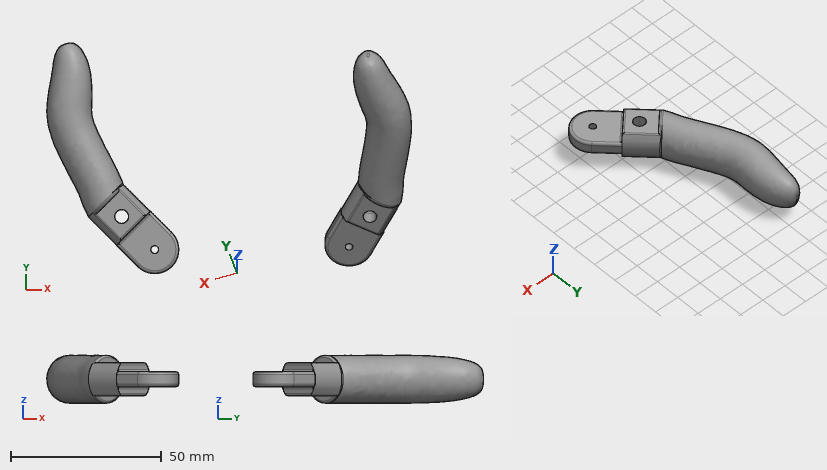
import cadquery as cq
import math

SHANK_ANGLE = 135.0

TONGUE_RADIUS = 8.0
TONGUE_THICKNESS = 5.0
TONGUE_FILLET = 1.0
PIN_HOLE_DIAMETER = 2.5

SHOULDER_DISTANCE = 10.0
BLOCK_END = 22.0
BLOCK_THICKNESS = 11.0
BLOCK_FILLET = 0.7
SHOULDER_ROOT_FILLET = 0.7
BLOCK_HOLE_DISTANCE = 15.5
BLOCK_HOLE_DIAMETER = 4.5

GRIP_START = 23.2
GRIP_HALF_HEIGHT = 15.93 / 2
SHANK_HALF_WIDTH = 7.9
GRIP_HALF_WIDTH = 7.5
SPINE_POINTS = [(-21.9, 28.4), (-25.7, 36.0), (-27.8, 41.7), (-28.4, 47.0),
                (-27.7, 55.5), (-28.1, 62.0)]
TIP = (-29.4, 68.3)
BEND_SECTIONS = 6

DOME_LENGTH = 24.0
DOME_ANGLES = [20, 40, 55, 68, 78, 85, 89]
WIDTH_POWER = 0.35
HEIGHT_POWER = 0.25

EDGE_GAP = 0.02


def shank_point(distance):
    """Point on the shank axis at a distance from the pin hole."""
    angle = math.radians(SHANK_ANGLE)
    return cq.Vector(distance * math.cos(angle), distance * math.sin(angle), 0)


def turn_to_shank(shape):
    """Turn a shape built along +X to the direction of the shank."""
    return shape.rotate((0, 0, 0), (0, 0, 1), SHANK_ANGLE)


def section(center, direction, half_width, half_height):
    """Ellipse centred on the spine, normal to the given direction."""
    across = cq.Vector(direction.y, -direction.x, 0)
    plane = cq.Plane(origin=center, xDir=across, normal=direction)
    return cq.Workplane(plane).ellipse(half_width, half_height).val()


def make_shank():
    """Straight elliptical length from the shoulder to the start of the grip."""
    profile = section(shank_point(SHOULDER_DISTANCE), shank_point(1), SHANK_HALF_WIDTH, GRIP_HALF_HEIGHT)
    length = shank_point(GRIP_START - SHOULDER_DISTANCE)
    return cq.Workplane(cq.Solid.extrudeLinear(profile, [], length))


def make_grip():
    """Curved grip lofted along its spine and closed by a dome."""
    start = shank_point(GRIP_START)
    spine = cq.Edge.makeSpline([start] + [cq.Vector(*point) for point in SPINE_POINTS + [TIP]])
    dome_start = 1 - DOME_LENGTH / spine.Length()

    sections = [section(start, shank_point(1), SHANK_HALF_WIDTH, GRIP_HALF_HEIGHT)]
    for index in range(1, BEND_SECTIONS + 1):
        place = dome_start * index / BEND_SECTIONS
        sections.append(section(spine.positionAt(place), spine.tangentAt(place),
                                GRIP_HALF_WIDTH, GRIP_HALF_HEIGHT))
    for angle in DOME_ANGLES:
        reach = math.sin(math.radians(angle))
        closing = 1 - reach ** 2
        place = dome_start + (1 - dome_start) * reach
        sections.append(section(spine.positionAt(place), spine.tangentAt(place),
                                GRIP_HALF_WIDTH * closing ** WIDTH_POWER,
                                GRIP_HALF_HEIGHT * closing ** HEIGHT_POWER))
    return cq.Workplane(cq.Solid.makeLoft(sections))


def make_tongue():
    """Round-ended plate with both rims filleted, ending square at the shoulder."""
    plate = (cq.Workplane("XY", origin=(0, 0, -TONGUE_THICKNESS / 2))
             .moveTo(SHOULDER_DISTANCE, -TONGUE_RADIUS)
             .lineTo(0, -TONGUE_RADIUS)
             .threePointArc((-TONGUE_RADIUS, 0), (0, TONGUE_RADIUS))
             .lineTo(SHOULDER_DISTANCE, TONGUE_RADIUS)
             .close()
             .extrude(TONGUE_THICKNESS))
    plate = plate.edges("not (>X or |Z)").fillet(TONGUE_FILLET)
    return turn_to_shank(plate)


def cut_flats(body):
    """Trim the shank to two parallel flats between the shoulder and the grip."""
    for side in (1, -1):
        waste = (cq.Workplane("XY")
                 .box(2 * BLOCK_END, 4 * TONGUE_RADIUS, BLOCK_THICKNESS)
                 .translate((0, 0, side * BLOCK_THICKNESS)))
        body = body.cut(turn_to_shank(waste))
    return body


def round_block_edges(body):
    """Fillet the outer edges of the flats and the rims of the grip's end faces."""
    flat_height = BLOCK_THICKNESS / 2
    convex_edges = []
    for edge in body.edges().vals():
        center = edge.Center()
        rise = abs(center.z) - flat_height
        to_grip = BLOCK_END - center.dot(shank_point(1))
        on_flat = abs(rise) < EDGE_GAP and to_grip > EDGE_GAP
        on_grip_rim = rise > EDGE_GAP and abs(to_grip) < EDGE_GAP
        if on_flat or on_grip_rim:
            convex_edges.append(edge)
    return body.newObject(convex_edges).fillet(BLOCK_FILLET)


def make_root_fillets():
    """Concave fillets between the shoulder and the two faces of the tongue."""
    width = 2 * (TONGUE_RADIUS - TONGUE_FILLET)
    radius = SHOULDER_ROOT_FILLET
    face = TONGUE_THICKNESS / 2
    start = SHOULDER_DISTANCE - radius
    middle = radius * math.sin(math.pi / 4)
    fillet = (cq.Workplane("XZ")
              .moveTo(start, face)
              .threePointArc((start + middle, face + radius - middle), (SHOULDER_DISTANCE, face + radius))
              .lineTo(SHOULDER_DISTANCE, face)
              .close()
              .extrude(width / 2, both=True))
    return turn_to_shank(fillet.union(fillet.mirror("XY")))


def drill(body, distance, diameter):
    """Through hole along Z at a distance along the shank."""
    center = shank_point(distance)
    hole = cq.Workplane("XY").center(center.x, center.y).circle(diameter / 2)
    return body.cut(hole.extrude(BLOCK_THICKNESS, both=True))


handle = make_shank().union(make_grip())
handle = round_block_edges(cut_flats(handle))
body = handle.union(make_tongue()).union(make_root_fillets())
body = drill(body, 0, PIN_HOLE_DIAMETER)
result = drill(body, BLOCK_HOLE_DISTANCE, BLOCK_HOLE_DIAMETER)